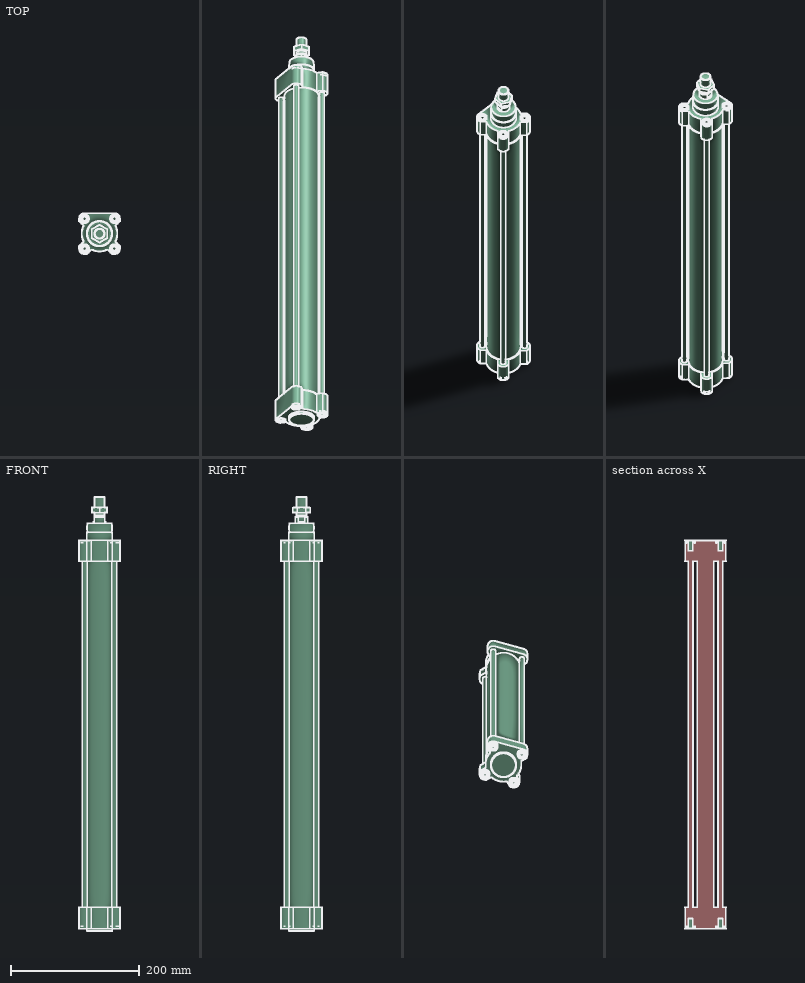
import cadquery as cq
import math

rear_head_height = 34.0
front_head_height = 33.0
front_head_top = 606.0
front_head_bottom = front_head_top - front_head_height
rod_tip = 673.8

overall_width = 64.0
head_core_diameter = 56.0
rod_pitch = 46.5
lug_radius = (overall_width - rod_pitch) / 2
corner_places = [(x, y) for x in (-rod_pitch / 2, rod_pitch / 2) for y in (-rod_pitch / 2, rod_pitch / 2)]

barrel_diameter = 53.5
tie_rod_diameter = 8.0

tie_nut_bore_diameter = 13.9
tie_nut_diameter = 12.0
tie_nut_bore_depth = 4.0
tie_nut_chamfer = 0.5
tie_thread_diameter = 6.65
tie_thread_depth = 16.0
tie_thread_mouth_diameter = 8.0

collar_diameter = 40.0
rear_collar_height = 4.0
rear_collar_chamfer = 1.0
front_collar_height = 12.5

cap_height = 14.2
cap_end_diameter = 38.0
cap_middle_diameter = 39.7

rod_diameter = 20.0
thread_diameter = 16.0
thread_length = 31.0
thread_chamfer = 0.8
undercut_diameter = 14.38
undercut_length = 2.0
shoulder_chamfer = 0.5
rod_foot = front_head_bottom
rod_shoulder = rod_tip - thread_length
flat_width = 17.0
flat_length = 8.2

nut_across_flats = 24.0
nut_across_corners = nut_across_flats / math.cos(math.radians(30))
nut_height = 8.0
nut_top = rod_tip - 16.5
nut_bottom = nut_top - nut_height
nut_bevel_angle = 15.0


def cylinder(diameter, bottom, top):
    return cq.Workplane("XY").workplane(offset=bottom).circle(diameter / 2).extrude(top - bottom)


def make_head(bottom, height):
    """Round core with four diagonal lugs and a flat port side on +Y."""
    plane = cq.Workplane("XY").workplane(offset=bottom)
    outline = plane.rect(overall_width, overall_width).extrude(height).edges("|Z").fillet(lug_radius)
    head = plane.circle(head_core_diameter / 2).extrude(height)
    for angle in (45, 135):
        arm = plane.transformed(rotate=(0, 0, angle)).rect(2 * overall_width, 2 * lug_radius).extrude(height)
        head = head.union(arm)
    port_depth = overall_width / 2
    port_block = plane.center(0, port_depth / 2).rect(rod_pitch, port_depth).extrude(height)
    return head.union(port_block).intersect(outline)


def make_tie_nut_recess(face, inward):
    """Space cut from a lug: the gap around the tie nut, its chamfer, and the threaded hole."""
    nut_radius = tie_nut_diameter / 2
    bore_radius = tie_nut_bore_diameter / 2
    thread_radius = tie_thread_diameter / 2
    mouth_radius = tie_thread_mouth_diameter / 2
    mouth_depth = mouth_radius - thread_radius
    gap = cq.Workplane("XZ").polyline([
        (nut_radius - tie_nut_chamfer, face),
        (bore_radius, face),
        (bore_radius, face + inward * tie_nut_bore_depth),
        (nut_radius, face + inward * tie_nut_bore_depth),
        (nut_radius, face + inward * tie_nut_chamfer),
    ]).close().revolve(360, (0, 0, 0), (0, 1, 0))
    hole = cq.Workplane("XZ").polyline([
        (0, face),
        (mouth_radius, face),
        (thread_radius, face + inward * mouth_depth),
        (thread_radius, face + inward * tie_thread_depth),
        (0, face + inward * tie_thread_depth),
    ]).close().revolve(360, (0, 0, 0), (0, 1, 0))
    return gap.union(hole)


def make_cap(bottom, top):
    middle = (bottom + top) / 2
    return (
        cq.Workplane("XZ")
        .moveTo(0, bottom)
        .lineTo(cap_end_diameter / 2, bottom)
        .threePointArc((cap_middle_diameter / 2, middle), (cap_end_diameter / 2, top))
        .lineTo(0, top)
        .close()
        .revolve(360, (0, 0, 0), (0, 1, 0))
    )


def make_housing():
    body = make_head(0, rear_head_height)
    body = body.union(make_head(front_head_bottom, front_head_height))
    body = body.union(cylinder(barrel_diameter, rear_head_height, front_head_bottom))
    tie_rod = cylinder(tie_rod_diameter, rear_head_height, front_head_bottom)
    recesses = [make_tie_nut_recess(0, 1), make_tie_nut_recess(front_head_top, -1)]
    for x, y in corner_places:
        body = body.union(tie_rod.translate((x, y, 0)))
        for recess in recesses:
            body = body.cut(recess.translate((x, y, 0)))

    rear_collar = cylinder(collar_diameter, -rear_collar_height, 0).faces("<Z").chamfer(rear_collar_chamfer)
    front_collar_top = front_head_top + front_collar_height
    cap_top = front_collar_top + cap_height
    body = body.union(rear_collar)
    body = body.union(cylinder(collar_diameter, front_head_top, front_collar_top))
    body = body.union(make_cap(front_collar_top, cap_top))
    return body.cut(cylinder(rod_diameter, rod_foot, cap_top))


def make_rod():
    shaft = cylinder(rod_diameter, rod_foot, rod_shoulder).faces(">Z").chamfer(shoulder_chamfer)
    for side in (-1, 1):
        flat = (
            cq.Workplane("XY")
            .workplane(offset=rod_shoulder - flat_length)
            .center(side * (flat_width + rod_diameter) / 2, 0)
            .rect(rod_diameter, 2 * rod_diameter)
            .extrude(flat_length)
        )
        shaft = shaft.cut(flat)
    undercut_top = rod_shoulder + undercut_length
    undercut = cylinder(undercut_diameter, rod_shoulder, undercut_top)
    thread = cylinder(thread_diameter, undercut_top, rod_tip).faces(">Z").chamfer(thread_chamfer)
    return shaft.union(undercut).union(thread)


def make_nut():
    """Hexagon with corners on the Y axis, bevelled on top and bored for the thread."""
    flat_radius = nut_across_flats / 2
    corner_radius = nut_across_corners / 2
    bevel_height = (corner_radius - flat_radius) * math.tan(math.radians(nut_bevel_angle))
    plane = cq.Workplane("XY").workplane(offset=nut_bottom).transformed(rotate=(0, 0, 90))
    hexagon = plane.polygon(6, nut_across_corners).extrude(nut_height)
    bevelled_disc = cq.Workplane("XZ").polyline([
        (0, nut_bottom),
        (corner_radius, nut_bottom),
        (corner_radius, nut_top - bevel_height),
        (flat_radius, nut_top),
        (0, nut_top),
    ]).close().revolve(360, (0, 0, 0), (0, 1, 0))
    return hexagon.intersect(bevelled_disc).cut(cylinder(thread_diameter, nut_bottom, nut_top))


housing = make_housing()
rod = make_rod()
nut = make_nut()
result = cq.Compound.makeCompound([housing.val(), rod.val(), nut.val()])